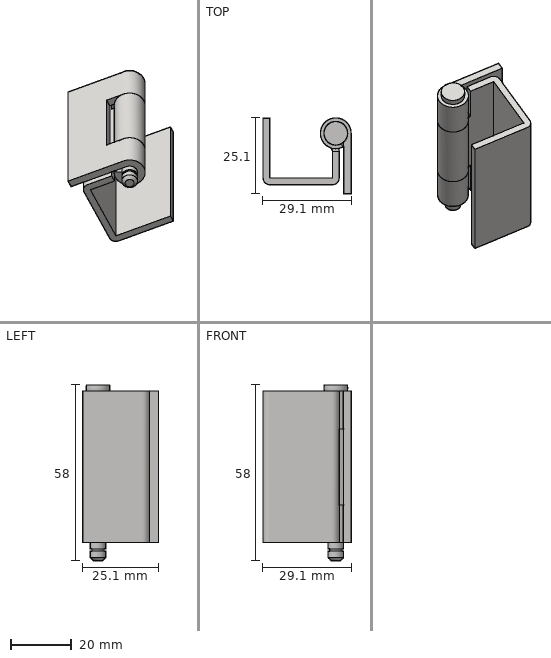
import cadquery as cq
import math


leaf_height = 50.0
end_knuckle_length = leaf_height / 4
mid_knuckle_length = leaf_height - 2 * end_knuckle_length
pin_radius = 2.6
sheet = 2.5
knuckle_radius = pin_radius + sheet
leaf_edge_below_axis = 6.0

flat_leaf_length = 20.0
curl_end_angle = math.radians(-62)

channel_sheet = 2.3
channel_width = 25.15
channel_left = -24.0
channel_right = channel_left + channel_width
channel_bottom = -17.0
free_flange_top = 5.0
bend_radius = channel_sheet

head_end_radius = 3.85
head_bulge = 0.1
head_height = 2.0
tail_length = 6.0
groove_radius = 2.05
groove_top = -2.0
groove_width = 0.75
tip_chamfer = 1.1


def on_circle(radius, angle):
    """Point on a circle about the pin axis."""
    return (radius * math.cos(angle), radius * math.sin(angle))


def make_flat_leaf():
    """Flat plate whose inner end is rolled around the pin at top and bottom."""
    plate_inner = knuckle_radius - sheet
    leaf = (
        cq.Workplane("XY")
        .moveTo(plate_inner, -flat_leaf_length)
        .lineTo(knuckle_radius, -flat_leaf_length)
        .lineTo(knuckle_radius, 0)
        .threePointArc((-knuckle_radius, 0), on_circle(knuckle_radius, curl_end_angle))
        .lineTo(*on_circle(pin_radius, curl_end_angle))
        .threePointArc((-pin_radius, 0), (pin_radius, 0))
        .close()
        .extrude(leaf_height)
    )
    notch = (
        cq.Workplane("XY", origin=(0, -leaf_edge_below_axis, end_knuckle_length))
        .box(
            2 * knuckle_radius,
            knuckle_radius + leaf_edge_below_axis,
            mid_knuckle_length,
            centered=(True, False, False),
        )
    )
    return leaf.cut(notch)


def make_channel():
    """U-shaped sheet, open toward +Y, with its right flange ending below the pin."""
    return (
        cq.Workplane("XY")
        .moveTo(channel_left, free_flange_top)
        .lineTo(channel_left, channel_bottom + bend_radius)
        .radiusArc((channel_left + bend_radius, channel_bottom), -bend_radius)
        .lineTo(channel_right - bend_radius, channel_bottom)
        .radiusArc((channel_right, channel_bottom + bend_radius), -bend_radius)
        .lineTo(channel_right, -leaf_edge_below_axis)
        .lineTo(channel_right - channel_sheet, -leaf_edge_below_axis)
        .lineTo(channel_right - channel_sheet, channel_bottom + channel_sheet)
        .lineTo(channel_left + channel_sheet, channel_bottom + channel_sheet)
        .lineTo(channel_left + channel_sheet, free_flange_top)
        .close()
        .extrude(leaf_height)
    )


def make_neck():
    """S-bend from the right flange into the middle knuckle.

    Both sides are arcs about one centre; the left one is tangent to the flange and the knuckle.
    """
    flange_left = channel_right - channel_sheet
    base = -leaf_edge_below_axis
    inner_radius = (flange_left**2 + base**2 - knuckle_radius**2) / (2 * (knuckle_radius + flange_left))
    outer_radius = inner_radius + channel_sheet
    centre_x = flange_left - inner_radius
    tangent_angle = math.atan2(-base, -centre_x)

    def on_bend(radius, angle):
        return (centre_x + radius * math.cos(angle), base + radius * math.sin(angle))

    return (
        cq.Workplane("XY", origin=(0, 0, end_knuckle_length))
        .moveTo(flange_left, base)
        .lineTo(channel_right, base)
        .threePointArc(on_bend(outer_radius, tangent_angle / 2), on_bend(outer_radius, tangent_angle))
        .lineTo(*on_bend(inner_radius, tangent_angle))
        .threePointArc(on_bend(inner_radius, tangent_angle / 2), (flange_left, base))
        .close()
        .extrude(mid_knuckle_length)
    )


def make_channel_leaf():
    """Channel joined through the neck to its knuckle, bored for the pin."""
    knuckle = (
        cq.Workplane("XY", origin=(0, 0, end_knuckle_length))
        .circle(knuckle_radius)
        .extrude(mid_knuckle_length)
    )
    bore = cq.Workplane("XY").circle(pin_radius).extrude(leaf_height)
    return make_channel().union(make_neck()).union(knuckle).cut(bore)


def make_pin():
    """Headed pin with a retaining groove and a chamfered tip below the leaves."""
    head_top = leaf_height + head_height
    groove_bottom = groove_top - groove_width
    return (
        cq.Workplane("XZ")
        .moveTo(0, head_top)
        .lineTo(head_end_radius, head_top)
        .threePointArc(
            (head_end_radius + head_bulge, leaf_height + head_height / 2),
            (head_end_radius, leaf_height),
        )
        .lineTo(pin_radius, leaf_height)
        .lineTo(pin_radius, groove_top)
        .lineTo(groove_radius, groove_top)
        .lineTo(groove_radius, groove_bottom)
        .lineTo(pin_radius, groove_bottom)
        .lineTo(pin_radius, -tail_length + tip_chamfer)
        .lineTo(pin_radius - tip_chamfer, -tail_length)
        .lineTo(0, -tail_length)
        .close()
        .revolve(360, (0, 0, 0), (0, 1, 0))
    )


flat_leaf = make_flat_leaf()
channel_leaf = make_channel_leaf()
pin = make_pin()

result = cq.Compound.makeCompound([flat_leaf.val(), channel_leaf.val(), pin.val()])